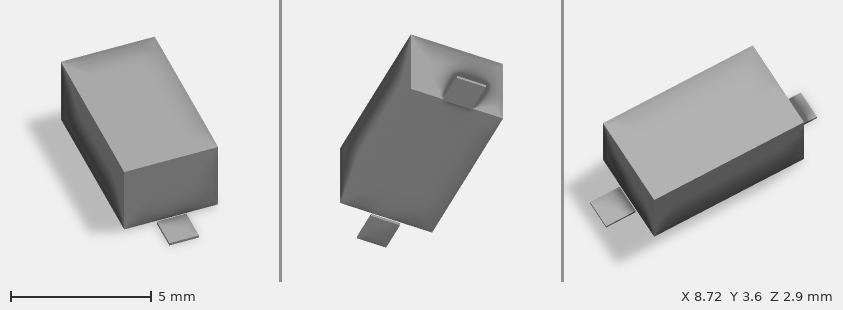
import cadquery as cq

overall_length = 8.72
overall_height = 2.9

housing_length = 6.2
housing_width = 3.6

terminal_length = 1.22
terminal_width = 1.13
terminal_thickness = 0.105

housing_height = overall_height - terminal_thickness
terminal_offset = (overall_length - terminal_length) / 2


def make_housing():
    """Plain block whose underside is level with the tops of the terminals."""
    return (
        cq.Workplane("XY")
        .workplane(offset=terminal_thickness)
        .rect(housing_length, housing_width)
        .extrude(housing_height)
    )


def make_terminal(side):
    """Flat terminal standing just clear of one end: side is -1 for -X, +1 for +X."""
    return (
        cq.Workplane("XY")
        .center(side * terminal_offset, 0)
        .rect(terminal_length, terminal_width)
        .extrude(terminal_thickness)
    )


housing = make_housing()
terminals = [make_terminal(side) for side in (-1, 1)]

result = cq.Compound.makeCompound([housing.val(), *[terminal.val() for terminal in terminals]])